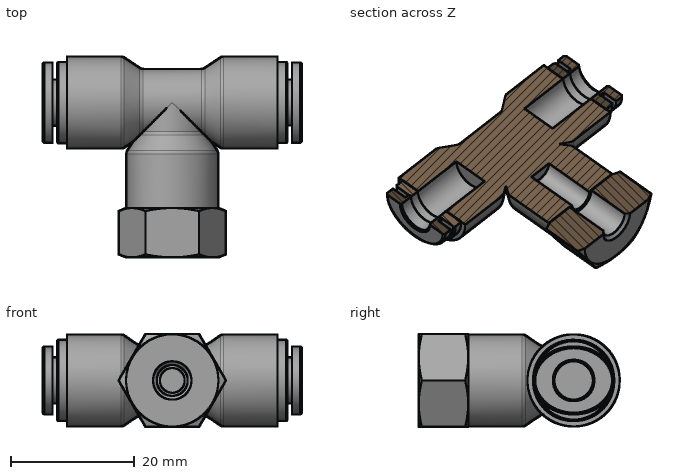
import cadquery as cq
import math


leg_length = 17.0
shell_diameter = 14.9
neck_diameter = 10.9
cone_start = 5.0
cone_end = 8.0
cone_blend_radius = 1.0
tube_bore_diameter = 6.2
tube_stop = 8.0
branch_bore_diameter = 4.0
branch_bore_depth = 9.0

nut_length = 8.0
nut_across_flats = 15.0
nut_across_corners = nut_across_flats / math.cos(math.radians(30))
nut_face_diameter = 14.9
nut_corner_bevel = 0.5
nut_bore_diameter = 5.0
nut_mouth_diameter = 6.2
nut_mouth_depth = (nut_mouth_diameter - nut_bore_diameter) / 2

cap_diameter = 13.15
cap_length = 1.6
cap_chamfer = 0.25

ring_width = 13.0
ring_height = 11.0
ring_plate_thickness = 1.65
ring_plate_chamfer = 0.3
ring_neck_diameter = 7.5
ring_mouth_chamfer = 0.25
port_end = 20.95
ring_neck_length = port_end - ring_plate_thickness - leg_length - cap_length

port_angles = (0, 180)
branch_angle = -90


def make_leg():
    """One solid leg of the tee along +X: neck, blended cone and shell."""
    outline = [
        (0, 0),
        (0, neck_diameter / 2),
        (cone_start, neck_diameter / 2),
        (cone_end, shell_diameter / 2),
        (leg_length, shell_diameter / 2),
        (leg_length, 0),
    ]
    leg = cq.Workplane("XY").polyline(outline).close().revolve(360, (0, 0, 0), (1, 0, 0))
    middle_of_cone = (cone_start + cone_end) / 2
    half_reach = cone_end - cone_start
    cone_rims = cq.selectors.BoxSelector(
        (middle_of_cone - half_reach, -shell_diameter, -shell_diameter),
        (middle_of_cone + half_reach, shell_diameter, shell_diameter),
        boundingbox=True,
    )
    return leg.edges("%CIRCLE").edges(cone_rims).fillet(cone_blend_radius)


def turn(body, angle):
    """Turn a body about the Z axis through the origin."""
    return body.rotate((0, 0, 0), (0, 0, 1), angle)


def bore(diameter, start, end):
    """Cylinder along +X between two distances from the origin."""
    return cq.Workplane("YZ", origin=(start, 0, 0)).circle(diameter / 2).extrude(end - start)


def make_tee():
    leg = make_leg()
    tee = turn(leg, branch_angle)
    for angle in port_angles:
        tee = tee.union(turn(leg, angle))
    tube_bore = bore(tube_bore_diameter, tube_stop, leg_length)
    for angle in port_angles:
        tee = tee.cut(turn(tube_bore, angle))
    branch_bore = bore(branch_bore_diameter, leg_length - branch_bore_depth, leg_length)
    return tee.cut(turn(branch_bore, branch_angle))


def make_nut():
    """Hexagon nut with beveled corners and a countersunk bore."""
    nut_end = leg_length + nut_length
    hexagon = (
        cq.Workplane("YZ", origin=(leg_length, 0, 0))
        .polygon(6, nut_across_corners)
        .extrude(nut_length)
    )
    bevel_outline = [
        (leg_length, 0),
        (leg_length, nut_face_diameter / 2),
        (leg_length + nut_corner_bevel, nut_across_corners / 2),
        (nut_end - nut_corner_bevel, nut_across_corners / 2),
        (nut_end, nut_face_diameter / 2),
        (nut_end, 0),
    ]
    bevel = cq.Workplane("XY").polyline(bevel_outline).close().revolve(360, (0, 0, 0), (1, 0, 0))
    nut = hexagon.intersect(bevel).cut(bore(nut_bore_diameter, leg_length, nut_end))
    nut = nut.faces(">X").edges(cq.selectors.RadiusNthSelector(0)).chamfer(nut_mouth_depth)
    return turn(nut, branch_angle)


def make_cap():
    """Round cap seated on the end of a tube port."""
    cap = cq.Workplane("YZ", origin=(leg_length, 0, 0)).circle(cap_diameter / 2).extrude(cap_length)
    cap = cap.faces(">X").edges().chamfer(cap_chamfer)
    return cap.cut(bore(tube_bore_diameter, leg_length, leg_length + cap_length))


def make_ring():
    """Release ring: an oval plate on a round neck."""
    neck_start = leg_length + cap_length
    plate_start = port_end - ring_plate_thickness
    plate = (
        cq.Workplane("YZ", origin=(plate_start, 0, 0))
        .ellipse(ring_width / 2, ring_height / 2)
        .extrude(ring_plate_thickness)
        .faces(">X")
        .edges()
        .chamfer(ring_plate_chamfer)
    )
    neck = bore(ring_neck_diameter, neck_start, neck_start + ring_neck_length)
    ring = plate.union(neck).cut(bore(tube_bore_diameter, neck_start, port_end))
    return ring.faces(">X").edges("%CIRCLE").chamfer(ring_mouth_chamfer)


tee = make_tee()
nut = make_nut()
caps = [turn(make_cap(), angle) for angle in port_angles]
rings = [turn(make_ring(), angle) for angle in port_angles]

result = cq.Compound.makeCompound(
    [tee.val(), nut.val()] + [cap.val() for cap in caps] + [ring.val() for ring in rings]
)